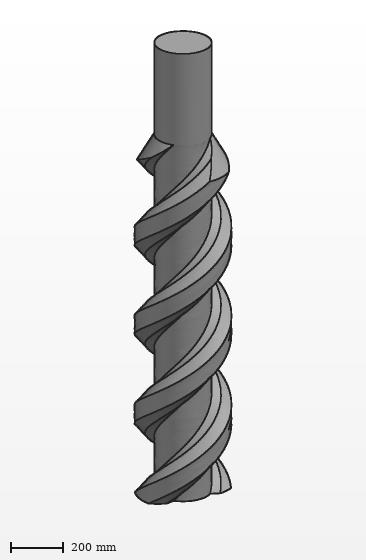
import cadquery as cq
import math

total_length = 1847.0
flute_length = 1468.0
core_radius = 109.0
tip_radius = 183.7
twist_angle = 720.0

tip_half_angle = 19.0
shoulder_radius = 144.0
shoulder_half_angle = 38.5
root_half_angle = 45.0
flank_bulge = 4.0

cone_height = 130.0

lobe_directions = (90.0, 270.0)


def polar(radius, angle):
    """Point at a radius and an angle in degrees."""
    return (radius * math.cos(math.radians(angle)), radius * math.sin(math.radians(angle)))


def flank_middle(direction, side):
    """Middle of the flank arc, pushed outward from the tip-to-shoulder chord."""
    tip_x, tip_y = polar(tip_radius, direction + side * tip_half_angle)
    shoulder_x, shoulder_y = polar(shoulder_radius, direction + side * shoulder_half_angle)
    chord_x = shoulder_x - tip_x
    chord_y = shoulder_y - tip_y
    push = side * flank_bulge / math.hypot(chord_x, chord_y)
    return (
        (tip_x + shoulder_x) / 2 + push * chord_y,
        (tip_y + shoulder_y) / 2 - push * chord_x,
    )


def flute_section():
    """Two lobes joined by arcs of the core circle, traced counterclockwise."""
    section = cq.Workplane("XY").moveTo(*polar(core_radius, lobe_directions[0] - root_half_angle))
    for direction in lobe_directions:
        section = (
            section
            .lineTo(*polar(shoulder_radius, direction - shoulder_half_angle))
            .threePointArc(
                flank_middle(direction, -1),
                polar(tip_radius, direction - tip_half_angle),
            )
            .threePointArc(
                polar(tip_radius, direction),
                polar(tip_radius, direction + tip_half_angle),
            )
            .threePointArc(
                flank_middle(direction, 1),
                polar(shoulder_radius, direction + shoulder_half_angle),
            )
            .lineTo(*polar(core_radius, direction + root_half_angle))
            .threePointArc(
                polar(core_radius, direction + 90),
                polar(core_radius, direction + 180 - root_half_angle),
            )
        )
    return section.close()


stock_clearance = 37.0
cone_slope = (tip_radius - core_radius) / cone_height
stock_radius = tip_radius + stock_clearance
stock_shoulder = flute_length - cone_height - stock_clearance / cone_slope
stock = (
    cq.Workplane("XZ")
    .polyline([
        (0, 0),
        (stock_radius, 0),
        (stock_radius, stock_shoulder),
        (core_radius, flute_length),
        (0, flute_length),
    ])
    .close()
    .revolve(360, (0, 0, 0), (0, 1, 0))
)

fluted_body = flute_section().twistExtrude(flute_length, twist_angle).intersect(stock)

shank = (
    cq.Workplane("XY")
    .workplane(offset=flute_length)
    .circle(core_radius)
    .extrude(total_length - flute_length)
)

result = fluted_body.union(shank)